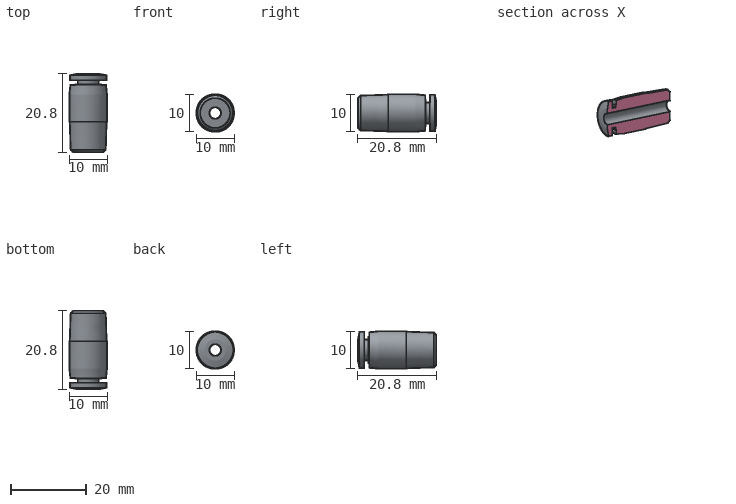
import cadquery as cq

total_length = 20.75
body_diameter = 10.0
bore_diameter = 2.99

nose_face_radius = 3.95
nose_tip_radius = 4.67
nose_base_radius = 4.9
nose_chamfer_length = 0.7
nose_length = 8.0

body_length = 7.26
rear_taper_length = 2.51
rear_taper_radius = 4.73

collar_radius = 3.47
collar_height = 0.19
neck_radius = 2.8
button_radius = 4.85
button_rim_length = 1.33
button_crown_height = 0.42
button_face_radius = neck_radius

body_radius = body_diameter / 2
body_end = nose_length + body_length
taper_end = body_end + rear_taper_length
collar_end = taper_end + collar_height
rim_end = total_length - button_crown_height
rim_start = rim_end - button_rim_length
bore_radius = bore_diameter / 2

half_section = [
    (bore_radius, 0),
    (nose_face_radius, 0),
    (nose_tip_radius, nose_chamfer_length),
    (nose_base_radius, nose_length),
    (body_radius, nose_length),
    (body_radius, body_end),
    (rear_taper_radius, taper_end),
    (collar_radius, taper_end),
    (collar_radius, collar_end),
    (neck_radius, collar_end),
    (neck_radius, rim_start),
    (button_radius, rim_start),
    (button_radius, rim_end),
    (button_face_radius, total_length),
    (bore_radius, total_length),
]

result = cq.Workplane("XY").polyline(half_section).close().revolve(360, (0, 0, 0), (0, 1, 0))